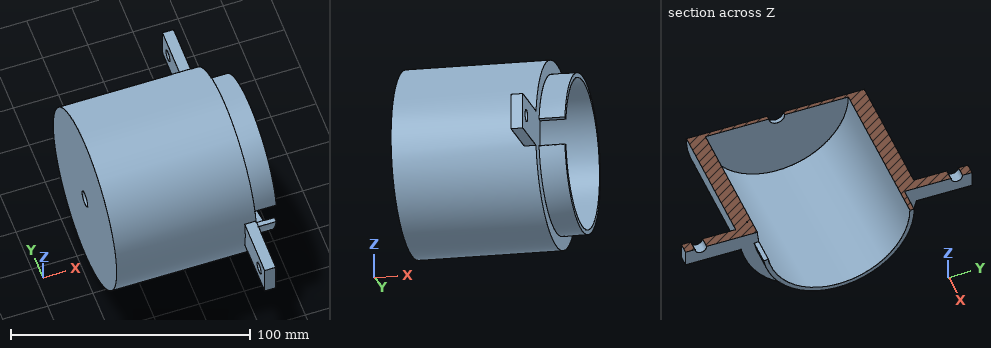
import cadquery as cq
import math

body_diameter = 80.0
body_length = 62.0
end_wall = 2.0
center_hole_diameter = 7.0

collar_diameter = 68.0
collar_length = 11.0
collar_wall = 2.0
notch_angle = 20

tab_span = 128.6
tab_thickness = 5.0
tab_width = 15.0
tab_hole_diameter = 5.0
tab_hole_edge_distance = 7.0

total_length = body_length + collar_length
bore_radius = collar_diameter / 2 - collar_wall
tab_start_x = body_length - tab_thickness


def cylinder_x(diameter, start_x, length):
    """Cylinder on the X axis."""
    return cq.Workplane("YZ").workplane(offset=start_x).circle(diameter / 2).extrude(length)


def make_tabs():
    """One bar across the full span, drilled near both ends."""
    hole_y = tab_span / 2 - tab_hole_edge_distance
    return (
        cq.Workplane("YZ")
        .workplane(offset=tab_start_x)
        .rect(tab_span, tab_width)
        .pushPoints([(-hole_y, 0), (hole_y, 0)])
        .circle(tab_hole_diameter / 2)
        .extrude(tab_thickness)
    )


def make_notch_cutter():
    """Wedge with radial sides that opens the collar toward -Y."""
    reach = collar_diameter
    half_width = reach * math.tan(math.radians(notch_angle / 2))
    return (
        cq.Workplane("YZ")
        .workplane(offset=body_length)
        .polyline([(0, 0), (-reach, half_width), (-reach, -half_width)])
        .close()
        .extrude(collar_length)
    )


body = cylinder_x(body_diameter, 0, body_length)
collar = cylinder_x(collar_diameter, body_length, collar_length).cut(make_notch_cutter())
bore = cylinder_x(2 * bore_radius, end_wall, total_length - end_wall)
center_hole = cylinder_x(center_hole_diameter, 0, end_wall)

result = body.union(make_tabs()).union(collar).cut(bore).cut(center_hole)